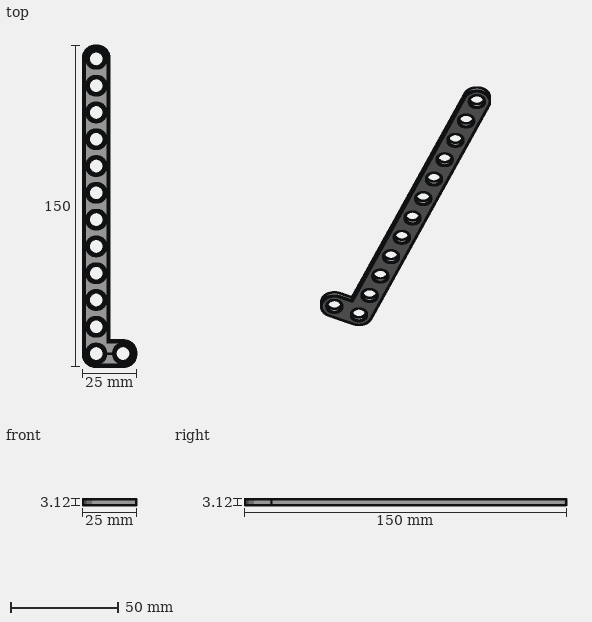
import cadquery as cq

pitch = 12.5
long_arm_holes = 12
thickness = 3.12
hole_diameter = 7.0
collar_diameter = 9.2
rim_width = (collar_diameter - hole_diameter) / 2
recess_depth = 0.2
edge_chamfer = 0.3
rib_width = 0.2

end_radius = pitch / 2
corner = (-end_radius, -(long_arm_holes - 1) * pitch / 2)
short_arm_end = (corner[0] + pitch, corner[1])
long_arm_end = (corner[0], -corner[1])
hole_centers = [(corner[0], corner[1] + i * pitch) for i in range(long_arm_holes)]
hole_centers.append(short_arm_end)


def l_plate(radius, height, base_z):
    """L-shaped plate made of two rounded arms of half-width radius."""
    length = long_arm_end[1] - corner[1]
    long_arm = (
        cq.Workplane("XY", origin=(corner[0], 0, base_z))
        .slot2D(length + 2 * radius, 2 * radius, 90)
        .extrude(height)
    )
    short_arm = (
        cq.Workplane("XY", origin=(0, corner[1], base_z))
        .slot2D(pitch + 2 * radius, 2 * radius)
        .extrude(height)
    )
    return long_arm.union(short_arm).clean()


def cylinders(diameter, height, base_z):
    """One cylinder on each hole centre."""
    return (
        cq.Workplane("XY", origin=(0, 0, base_z))
        .pushPoints(hole_centers)
        .circle(diameter / 2)
        .extrude(height)
    )


def recess(base_z):
    """Shallow pocket inside the rim, leaving the collars and the rib standing."""
    pocket = l_plate(end_radius - rim_width, recess_depth, base_z)
    rib = cq.Workplane("XY", origin=(0, corner[1], base_z)).rect(pitch, rib_width).extrude(recess_depth)
    return pocket.cut(cylinders(collar_diameter, recess_depth, base_z)).cut(rib)


body = l_plate(end_radius, thickness, 0)
body = body.cut(cylinders(hole_diameter, thickness, 0))
body = body.faces("<Z or >Z").edges().chamfer(edge_chamfer)
result = body.cut(recess(thickness - recess_depth))